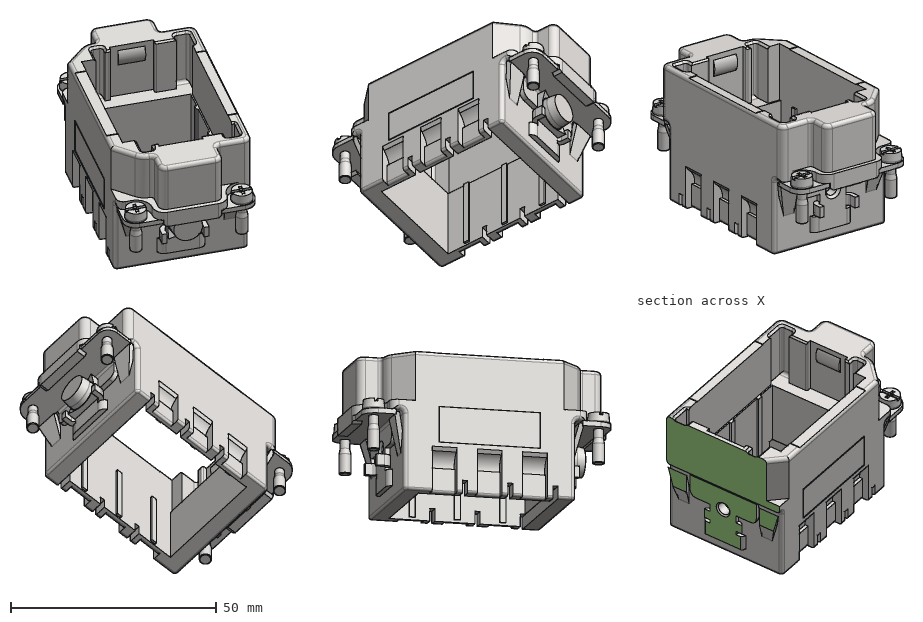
import cadquery as cq
import math

length = 64.0
depth = 34.0
height = 34.9

housing_half_x = 21.6
housing_corner_radius = 1.0
housing_bottom_radius = 0.65

flange_bottom = 20.0
flange_top = 22.4
flange_root_radius = 0.95
tongue_half_y = 9.5
tongue_corner_radius = 3.0
scallop_diameter = 8.0

lip_drop = 1.9
lip_length = 2.4
lip_half_y_top = 7.35
lip_half_y_bottom = 6.6

shroud_half_x = 24.8
shroud_corner_radius = 1.9
shroud_rim_radius = 1.0
wing_half_x = 30.85
wing_half_y = 8.0
wing_root_radius = 0.95
corner_cut_start_y = -8.95
corner_cut_radius = 4.6

shelf_z = 20.0
window_half_x = 17.15
window_half_y = 13.75
cavity_back_y = 14.15
cavity_front_half_x = 17.65
recess_half_x = 21.6
pad_half_x = 20.2
pocket_half_x = 22.45
recess_half_y = 5.6
back_pocket_y = (11.0, 14.85)
front_pocket_y = (-10.2, -7.1)
pocket_corner_radius = 0.8
pocket_chamfer = 0.6
pad_chamfer = 0.45
pad_corner_radius = 0.45
pocket_floor_radius = pocket_half_x - recess_half_x

contact_pitch = 11.4
contact_count = 3
rib_width = 1.5
rib_projection = 0.5

wall_window_width = 6.2
wall_window_height = 11.2
wall_window_step_z = 6.15
wall_window_low_depth = 1.8
wall_window_high_depth = 2.7
wall_window_lintel = 0.95
wall_window_top_depth = 0.65
slot_width = 1.3
slot_height = 3.15
slot_offset = 5.2

label_width = 25.5
label_bottom = 12.35
label_top = 21.25
label_depth = 0.2
rim_step_length = 27.4
rim_step_depth = 0.2

bump_width = 6.9
bump_height = 4.3
bump_projection = 0.65
bump_z = 31.3

sheet = 1.3
bracket_half_x = 31.35
bracket_half_y = 16.8
bracket_corner_radius = 3.3
bend_inner_radius = 0.6
web_half_y = 10.0
web_corner_radius = 1.85
web_bottom = 13.25
stem_half_y = 4.0
foot_half_y = 6.1
foot_flat_half_y = 4.2
foot_bottom = 3.4
foot_top = 7.55
tab_bottom = 8.4
tab_top = 11.2
tab_end_x = 25.55
tab_inner_radius = 0.7
gusset_inner_y = 10.9
gusset_outer_y_bottom = 14.0
gusset_outer_y_top = 16.65
gusset_bottom = 9.65
gusset_run = 2.3

screw_x = 28.35
screw_y = 13.45
head_diameter = 5.5
head_top_diameter = 5.1
head_rim_height = 0.4
head_height = 2.55
neck_diameter = 2.4
thread_diameter = 3.0
neck_end_z = 16.5
thread_start_z = 15.1
screw_tip_z = 10.25
tip_chamfer = 0.2
drive_slot_width = 0.8
drive_cross_length = 3.1
drive_cross_width = 0.7
drive_depth = 0.65
drive_bore_diameter = 1.5
drive_bore_depth = 0.95

earth_z = 13.5
earth_hole_diameter = 3.3
earth_countersink_diameter = 4.7
earth_hole_depth = 3.2
washer_size = 8.4
washer_dish_x = 24.3
washer_dish_diameter = 8.4
washer_outer_x = 25.3
washer_outer_dish_diameter = 11.9
earth_head_diameter = 8.0
earth_head_rim_x = 25.6
earth_head_end_x = 27.8
earth_head_end_diameter = 7.35

overlap = 0.3

half_depth = depth / 2
half_length = length / 2
bracket_face_x = housing_half_x + sheet
sheet_bottom = flange_bottom - sheet
bend_outer_radius = bend_inner_radius + sheet
bend_centre_x = bracket_face_x + bend_inner_radius
contact_xs = [(i - (contact_count - 1) / 2) * contact_pitch for i in range(contact_count)]


def box(x0, x1, y0, y1, z0, z1):
    return cq.Workplane("XY").box(x1 - x0, y1 - y0, z1 - z0, centered=False).translate((x0, y0, z0))


def mirror_x(solid):
    return solid.mirror("YZ")


def mirror_y(solid):
    return solid.mirror("XZ")


def with_mirror_y(solid):
    return solid.union(mirror_y(solid))


def flange_root():
    """Concave strip that carries the +X housing face out into the flange."""
    r = flange_root_radius
    return (
        cq.Workplane("XZ")
        .moveTo(housing_half_x, flange_bottom - r)
        .radiusArc((housing_half_x + r, flange_bottom), r)
        .lineTo(housing_half_x - overlap, flange_bottom)
        .lineTo(housing_half_x - overlap, flange_bottom - r)
        .close()
        .extrude(half_depth, both=True)
    )


def housing():
    """Lower housing that flares into the flange, without the tongues."""
    lower = box(-housing_half_x, housing_half_x, -half_depth, half_depth, 0, flange_bottom)
    middle = box(-shroud_half_x, shroud_half_x, -half_depth, half_depth, flange_bottom, flange_top)
    root = flange_root()
    body = lower.union(middle).union(root).union(mirror_x(root)).clean()
    for x in (-housing_half_x, housing_half_x):
        for y in (-half_depth, half_depth):
            edge = cq.selectors.NearestToPointSelector((x, y, flange_bottom / 2))
            body = body.edges("|Z").edges(edge).fillet(housing_corner_radius)
    rounded_plan = cq.Workplane("XY").rect(2 * shroud_half_x, depth).extrude(flange_top)
    body = body.intersect(rounded_plan.edges("|Z").fillet(shroud_corner_radius))
    return body.faces("<Z").edges().fillet(housing_bottom_radius)


def tongues():
    """Flange tongues over the whole length, with the hollows around the screw heads."""
    r = scallop_diameter / 2
    thickness = flange_top - flange_bottom
    bar = box(-half_length, half_length, -tongue_half_y, tongue_half_y, flange_bottom, flange_top)
    bar = bar.edges("|Z").fillet(tongue_corner_radius)
    web = box(
        shroud_half_x - overlap, shroud_half_x + r,
        tongue_half_y - overlap, tongue_half_y + r,
        flange_bottom, flange_top,
    )
    hollow = cq.Workplane("XY").circle(r).extrude(thickness)
    web = web.cut(hollow.translate((shroud_half_x + r, tongue_half_y + r, flange_bottom)))
    webs = with_mirror_y(web)
    return bar.union(webs).union(mirror_x(webs))


def lip():
    profile = [
        (-lip_half_y_top, sheet_bottom),
        (-lip_half_y_bottom, flange_bottom - lip_drop),
        (lip_half_y_bottom, flange_bottom - lip_drop),
        (lip_half_y_top, sheet_bottom),
        (lip_half_y_top, flange_bottom + overlap),
        (-lip_half_y_top, flange_bottom + overlap),
    ]
    start = cq.Workplane("YZ").workplane(offset=half_length - lip_length)
    raw = start.polyline(profile).close().extrude(lip_length)
    outline = (
        cq.Workplane("XY").rect(length, 2 * tongue_half_y).extrude(height)
        .edges("|Z").fillet(tongue_corner_radius)
    )
    return raw.intersect(outline)


def shroud():
    bend = math.radians(45)
    arc_x = shroud_half_x - corner_cut_radius * (1 - math.cos(bend))
    arc_y = corner_cut_start_y - corner_cut_radius * math.sin(bend)
    arc_mid_x = shroud_half_x - corner_cut_radius * (1 - math.cos(bend / 2))
    arc_mid_y = corner_cut_start_y - corner_cut_radius * math.sin(bend / 2)
    front_x = arc_x - (arc_y + half_depth)
    half = (
        cq.Workplane("XY").workplane(offset=flange_top)
        .moveTo(0, -half_depth)
        .lineTo(front_x, -half_depth)
        .lineTo(arc_x, arc_y)
        .threePointArc((arc_mid_x, arc_mid_y), (shroud_half_x, corner_cut_start_y))
        .radiusArc((shroud_half_x + wing_root_radius, -wing_half_y), wing_root_radius)
        .lineTo(wing_half_x - shroud_corner_radius, -wing_half_y)
        .radiusArc((wing_half_x, shroud_corner_radius - wing_half_y), -shroud_corner_radius)
        .lineTo(wing_half_x, wing_half_y - shroud_corner_radius)
        .radiusArc((wing_half_x - shroud_corner_radius, wing_half_y), -shroud_corner_radius)
        .lineTo(shroud_half_x + wing_root_radius, wing_half_y)
        .radiusArc((shroud_half_x, wing_half_y + wing_root_radius), wing_root_radius)
        .lineTo(shroud_half_x, half_depth - shroud_corner_radius)
        .radiusArc((shroud_half_x - shroud_corner_radius, half_depth), -shroud_corner_radius)
        .lineTo(0, half_depth)
        .close()
        .extrude(height - flange_top)
    )
    whole = half.union(mirror_x(half)).clean()
    return whole.faces(">Z").edges().fillet(shroud_rim_radius)


def corner_pocket(y_range):
    """Cavity pocket at +X with a rounded floor edge and a chamfered mouth."""
    y0, y1 = y_range
    c = pocket_chamfer
    pocket = box(window_half_x, pocket_half_x, y0, y1, shelf_z, height)
    pocket = pocket.edges("|Z").edges(">X").fillet(pocket_corner_radius)
    rounded_floor = box(window_half_x, pocket_half_x, y0, y1, shelf_z, height)
    rounded_floor = rounded_floor.faces(">X").edges("<Z").fillet(pocket_floor_radius)
    pocket = pocket.intersect(rounded_floor)
    mouth = box(window_half_x - c, pocket_half_x + c, y0 - c, y1 + c, height - c, height + overlap)
    mouth = mouth.edges("|Z").fillet(pocket_corner_radius + c).faces("<Z").edges().chamfer(c)
    return pocket.union(mouth)


def pad_lead_in(y0, y1):
    """Chamfer on the top edge of a +X end wall pad."""
    return (
        cq.Workplane("XZ").workplane(offset=-y1)
        .moveTo(pad_half_x, height - pad_chamfer)
        .lineTo(pad_half_x + pad_chamfer, height)
        .lineTo(pad_half_x, height)
        .close()
        .extrude(y1 - y0)
    )


def end_wall_cut():
    """Pockets, pads and recess of the +X end of the cavity."""
    pads = box(0, pad_half_x, front_pocket_y[1], back_pocket_y[0], shelf_z, height)
    recess = box(0, recess_half_x, -recess_half_y, recess_half_y, shelf_z, height)
    cut = pads.union(recess)
    for y in (-recess_half_y, recess_half_y):
        pad_corner = cq.selectors.NearestToPointSelector((pad_half_x, y, (shelf_z + height) / 2))
        cut = cut.edges("|Z").edges(pad_corner).fillet(pad_corner_radius)
    for y_range in (back_pocket_y, front_pocket_y):
        cut = cut.union(corner_pocket(y_range))
    cut = cut.union(pad_lead_in(recess_half_y, back_pocket_y[0]))
    return cut.union(pad_lead_in(front_pocket_y[1], -recess_half_y))


def cavity():
    room = box(-cavity_front_half_x, cavity_front_half_x, -window_half_y, cavity_back_y, shelf_z, height)
    window = box(-window_half_x, window_half_x, -window_half_y, window_half_y, 0, shelf_z)
    end = end_wall_cut()
    return room.union(window).union(end).union(mirror_x(end))


def guide_rib(x):
    """Rib below the shelf, on the +Y wall of the window."""
    return box(
        x - rib_width / 2, x + rib_width / 2,
        window_half_y - rib_projection, window_half_y + overlap,
        housing_bottom_radius, shelf_z,
    )


def wall_window(x):
    """Stepped blind window in the outside of the -Y wall, with a rounded top."""
    low_y = -half_depth + wall_window_low_depth
    high_y = -half_depth + wall_window_high_depth
    arc_start_z = wall_window_height - wall_window_lintel
    rise = arc_start_z - wall_window_step_z
    bow_y = -half_depth + wall_window_high_depth * math.sin(math.radians(45))
    bow_z = wall_window_step_z + rise * math.sin(math.radians(45))
    return (
        cq.Workplane("YZ").workplane(offset=x - wall_window_width / 2)
        .moveTo(-half_depth, 0)
        .lineTo(low_y + housing_bottom_radius, 0)
        .radiusArc((low_y, housing_bottom_radius), housing_bottom_radius)
        .lineTo(low_y, wall_window_step_z)
        .lineTo(high_y, wall_window_step_z)
        .threePointArc((bow_y, bow_z), (-half_depth + wall_window_top_depth, arc_start_z))
        .lineTo(-half_depth, wall_window_height)
        .close()
        .extrude(wall_window_width)
    )


def bottom_slot(x):
    """Notch in the bottom edge of both long walls."""
    return box(x - slot_width / 2, x + slot_width / 2, -half_depth, half_depth, 0, slot_height)


def label_field():
    front = -half_depth
    return box(-label_width / 2, label_width / 2, front, front + label_depth, label_bottom, label_top)


def rim_step():
    half = rim_step_length / 2
    return box(-half, half, -half_depth, half_depth, height - rim_step_depth, height)


def detent_bump():
    """Round bump in the recess of the +X end wall."""
    half_height = bump_height / 2
    return (
        cq.Workplane("XZ")
        .moveTo(recess_half_x + overlap, bump_z - half_height)
        .lineTo(recess_half_x, bump_z - half_height)
        .threePointArc((recess_half_x - bump_projection, bump_z), (recess_half_x, bump_z + half_height))
        .lineTo(recess_half_x + overlap, bump_z + half_height)
        .close()
        .extrude(bump_width / 2, both=True)
    )


def frame():
    end_lip = lip()
    body = housing().union(tongues()).union(shroud()).union(end_lip).union(mirror_x(end_lip))
    body = body.cut(cavity()).cut(label_field()).cut(rim_step())
    for x in contact_xs:
        window = wall_window(x)
        rib = guide_rib(x)
        body = body.cut(window).cut(mirror_y(window)).union(with_mirror_y(rib))
        body = body.cut(bottom_slot(x + slot_offset))
    bump = detent_bump()
    return body.union(bump).union(mirror_x(bump))


def bracket_plate():
    plate = box(bend_centre_x, bracket_half_x, -bracket_half_y, bracket_half_y, sheet_bottom, flange_bottom)
    return plate.edges("|Z").edges(">X").fillet(bracket_corner_radius)


def bracket_web():
    """Bend from the plate into the broad upper part of the T-shaped web."""
    bend = (
        cq.Workplane("XZ")
        .moveTo(bend_centre_x, flange_bottom)
        .radiusArc((housing_half_x, flange_bottom - bend_outer_radius), -bend_outer_radius)
        .lineTo(housing_half_x, web_bottom)
        .lineTo(bracket_face_x, web_bottom)
        .lineTo(bracket_face_x, sheet_bottom - bend_inner_radius)
        .radiusArc((bend_centre_x, sheet_bottom), bend_inner_radius)
        .close()
        .extrude(web_half_y, both=True)
    )
    return bend.edges("|X").edges("<Z").fillet(web_corner_radius)


def bracket_foot():
    """Foot of the web with its side edges rolled down to the housing."""
    side = foot_half_y - foot_flat_half_y
    roll_radius = (side ** 2 + sheet ** 2) / (2 * sheet)
    return (
        cq.Workplane("XY").workplane(offset=foot_bottom)
        .moveTo(housing_half_x, -foot_half_y)
        .radiusArc((bracket_face_x, -foot_flat_half_y), -roll_radius)
        .lineTo(bracket_face_x, foot_flat_half_y)
        .radiusArc((housing_half_x, foot_half_y), -roll_radius)
        .close()
        .extrude(foot_top - foot_bottom)
    )


def bracket_tab():
    """Tab bent outwards from the +Y edge of the stem."""
    outer = tab_inner_radius + sheet
    bend_x = bracket_face_x + tab_inner_radius
    return (
        cq.Workplane("XY").workplane(offset=tab_bottom)
        .moveTo(housing_half_x, stem_half_y)
        .radiusArc((bend_x, stem_half_y + outer), outer)
        .lineTo(tab_end_x, stem_half_y + outer)
        .lineTo(tab_end_x, stem_half_y + tab_inner_radius)
        .lineTo(bend_x, stem_half_y + tab_inner_radius)
        .radiusArc((bracket_face_x, stem_half_y), -tab_inner_radius)
        .close()
        .extrude(tab_top - tab_bottom)
    )


def gusset():
    """Slanted flap from the plate down to the housing, on the +Y side."""
    top_z = sheet_bottom + sheet / 2
    slab = (
        cq.Workplane("XZ")
        .moveTo(housing_half_x, gusset_bottom)
        .lineTo(housing_half_x + gusset_run, top_z)
        .lineTo(housing_half_x + gusset_run - sheet, top_z)
        .lineTo(housing_half_x - sheet, gusset_bottom)
        .close()
        .extrude(half_depth, both=True)
    )
    face = (
        cq.Workplane("YZ").workplane(offset=housing_half_x - sheet)
        .moveTo(gusset_inner_y, gusset_bottom)
        .lineTo(gusset_outer_y_bottom, gusset_bottom)
        .lineTo(gusset_outer_y_top, top_z)
        .lineTo(gusset_inner_y, top_z)
        .close()
        .extrude(2 * sheet + gusset_run)
    )
    return slab.intersect(face)


def bracket():
    stem = box(housing_half_x, bracket_face_x, -stem_half_y, stem_half_y, foot_bottom, web_bottom)
    part = bracket_plate().union(bracket_web()).union(stem).union(bracket_foot())
    return part.union(with_mirror_y(bracket_tab())).union(with_mirror_y(gusset()))


def captive_screw():
    """Pan head screw with a slotted cross recess, on the Z axis."""
    head_top = flange_bottom + head_height
    head_r = head_diameter / 2
    thread_r = thread_diameter / 2
    turned = (
        cq.Workplane("XZ")
        .moveTo(0, head_top)
        .lineTo(head_top_diameter / 2, head_top)
        .lineTo(head_r, flange_bottom + head_rim_height)
        .lineTo(head_r, flange_bottom)
        .lineTo(neck_diameter / 2, flange_bottom)
        .lineTo(neck_diameter / 2, neck_end_z)
        .lineTo(thread_r, thread_start_z)
        .lineTo(thread_r, screw_tip_z + tip_chamfer)
        .lineTo(thread_r - tip_chamfer, screw_tip_z)
        .lineTo(0, screw_tip_z)
        .close()
        .revolve(360, (0, 0, 0), (0, 1, 0))
    )
    drive = (
        cq.Workplane("XY").workplane(offset=head_top - drive_depth)
        .rect(drive_slot_width, head_diameter).extrude(drive_depth)
    )
    cross = (
        cq.Workplane("XY").workplane(offset=head_top - drive_depth)
        .rect(drive_cross_length, drive_cross_width).extrude(drive_depth)
    )
    bore = (
        cq.Workplane("XY").workplane(offset=head_top - drive_bore_depth)
        .circle(drive_bore_diameter / 2).extrude(drive_bore_depth)
    )
    return turned.cut(drive).cut(cross).cut(bore)


def earth_screw():
    """Earthing screw on a square washer with a dished outer face, at +X."""
    half = washer_size / 2
    washer = box(housing_half_x, washer_outer_x, -half, half, earth_z - half, earth_z + half)
    dish = (
        cq.Workplane("XY")
        .moveTo(washer_dish_x, 0)
        .lineTo(washer_dish_x, washer_dish_diameter / 2)
        .lineTo(washer_outer_x, washer_outer_dish_diameter / 2)
        .lineTo(washer_outer_x, 0)
        .close()
        .revolve(360, (0, 0, 0), (1, 0, 0))
    )
    head = (
        cq.Workplane("XY")
        .moveTo(washer_dish_x - overlap, 0)
        .lineTo(washer_dish_x - overlap, earth_head_diameter / 2)
        .lineTo(earth_head_rim_x, earth_head_diameter / 2)
        .lineTo(earth_head_end_x, earth_head_end_diameter / 2)
        .lineTo(earth_head_end_x, 0)
        .close()
        .revolve(360, (0, 0, 0), (1, 0, 0))
    )
    to_height = (0, 0, earth_z)
    return washer.cut(dish.translate(to_height)).union(head.translate(to_height))


def earth_hole():
    """Countersunk blind hole into the -X bracket."""
    hole_r = earth_hole_diameter / 2
    sink_r = earth_countersink_diameter / 2
    return (
        cq.Workplane("XY")
        .moveTo(-bracket_face_x, 0)
        .lineTo(-bracket_face_x, sink_r)
        .lineTo(-bracket_face_x + sink_r - hole_r, hole_r)
        .lineTo(-bracket_face_x + earth_hole_depth, hole_r)
        .lineTo(-bracket_face_x + earth_hole_depth, 0)
        .close()
        .revolve(360, (0, 0, 0), (1, 0, 0))
        .translate((0, 0, earth_z))
    )


result = frame()
end_bracket = bracket()
result = result.union(end_bracket).union(mirror_x(end_bracket))
for screw_sign_x in (-1, 1):
    for screw_sign_y in (-1, 1):
        place = (screw_sign_x * screw_x, screw_sign_y * screw_y, 0)
        result = result.union(captive_screw().translate(place))
result = result.union(earth_screw()).cut(earth_hole())